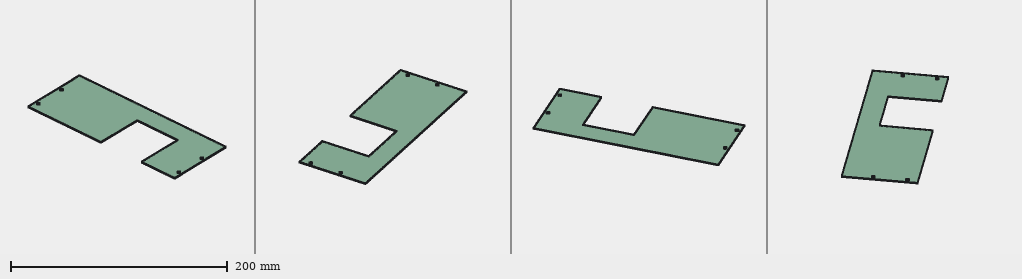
import cadquery as cq

plate_length = 181.7
plate_width = 71.0
plate_thickness = 1.0

notch_left_at_front = 90.3
notch_left_at_back = 90.7
notch_right = 140.6
notch_depth = 50.0

hole_diameter = 2.9
hole_edge_distance = 3.8
front_hole_y = 10.0
hole_spacing = 32.0


def make_plate():
    """Plate outline with the front notch, extruded to thickness."""
    outline = [
        (0, 0),
        (notch_left_at_front, 0),
        (notch_left_at_back, notch_depth),
        (notch_right, notch_depth),
        (notch_right, 0),
        (plate_length, 0),
        (plate_length, plate_width),
        (0, plate_width),
    ]
    return cq.Workplane("XY").polyline(outline).close().extrude(plate_thickness)


def make_mounting_holes():
    """Cylinders that cut the four through holes."""
    centers = [
        (x, y)
        for x in (hole_edge_distance, plate_length - hole_edge_distance)
        for y in (front_hole_y, front_hole_y + hole_spacing)
    ]
    return (
        cq.Workplane("XY")
        .pushPoints(centers)
        .circle(hole_diameter / 2)
        .extrude(plate_thickness)
    )


result = make_plate().cut(make_mounting_holes())